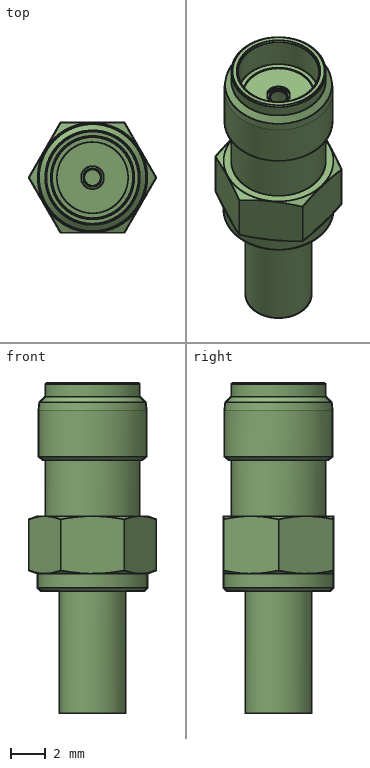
import cadquery as cq
import math

overall_length = 19.0
flange_bottom = 7.03
flange_height = 1.0
hex_height = 3.31
hex_bottom = flange_bottom + flange_height
hex_top = hex_bottom + hex_height
barrel_bottom = 14.54
barrel_taper_start = 17.42
barrel_cone_start = 17.88
nose_bottom = 18.21

tube_diameter = 3.84
flange_diameter = 6.35
flange_chamfer = 0.19
neck_diameter = 5.45
barrel_diameter = 6.24
barrel_taper_diameter = 6.14
barrel_bottom_chamfer_height = 0.22
barrel_bottom_chamfer_diameter = 5.66
nose_chamfer = 0.08

hex_across_flats = 6.35
hex_across_corners = hex_across_flats / math.cos(math.pi / 6)
hex_face_diameter = 6.31
hex_chamfer_angle = math.radians(20)
envelope_margin = 0.5

bore_diameter = 4.65
bore_depth = 1.95
bore_mouth_chamfer = 0.08
insulator_diameter = 4.1
insulator_recess = 0.07
contact_diameter = 1.32
contact_recess = 0.15
contact_hole_diameter = 0.94
contact_hole_chamfer = 0.06
contact_hole_depth = 2.0


def revolved(profile):
    """Solid of revolution about Z from a closed list of (radius, z) points."""
    return cq.Workplane("XZ").polyline(profile).close().revolve(360, (0, 0), (0, 1))


def turned_body():
    """Tube, flange, neck, barrel and nose as one revolved profile."""
    tube_radius = tube_diameter / 2
    flange_radius = flange_diameter / 2
    neck_radius = neck_diameter / 2
    barrel_radius = barrel_diameter / 2
    profile = [
        (0, 0),
        (tube_radius, 0),
        (tube_radius, flange_bottom),
        (flange_radius - flange_chamfer, flange_bottom),
        (flange_radius, flange_bottom + flange_chamfer),
        (flange_radius, hex_bottom),
        (neck_radius, hex_bottom),
        (neck_radius, barrel_bottom),
        (barrel_bottom_chamfer_diameter / 2, barrel_bottom),
        (barrel_radius, barrel_bottom + barrel_bottom_chamfer_height),
        (barrel_radius, barrel_taper_start),
        (barrel_taper_diameter / 2, barrel_cone_start),
        (neck_radius, nose_bottom),
        (neck_radius, overall_length - nose_chamfer),
        (neck_radius - nose_chamfer, overall_length),
        (0, overall_length),
    ]
    return revolved(profile)


def wrench_hex():
    """Hexagon with its corners turned off by a shallow cone at both ends."""
    face_radius = hex_face_diameter / 2
    rim_radius = hex_across_corners / 2 + envelope_margin
    cone_drop = (rim_radius - face_radius) * math.tan(hex_chamfer_angle)
    envelope_profile = [
        (0, hex_bottom),
        (face_radius, hex_bottom),
        (rim_radius, hex_bottom + cone_drop),
        (rim_radius, hex_top - cone_drop),
        (face_radius, hex_top),
        (0, hex_top),
    ]
    prism = cq.Workplane("XY", origin=(0, 0, hex_bottom)).polygon(6, hex_across_corners).extrude(hex_height)
    return prism.intersect(revolved(envelope_profile))


def socket_cavity():
    """Stepped bore: mouth, recessed insulator face, recessed contact face and contact hole."""
    bore_radius = bore_diameter / 2
    insulator_radius = insulator_diameter / 2
    contact_radius = contact_diameter / 2
    hole_radius = contact_hole_diameter / 2
    bore_floor = overall_length - bore_depth
    insulator_face = bore_floor - insulator_recess
    contact_face = insulator_face - contact_recess
    hole_bottom = contact_face - contact_hole_depth
    profile = [
        (0, hole_bottom),
        (hole_radius, hole_bottom),
        (hole_radius, contact_face - contact_hole_chamfer),
        (hole_radius + contact_hole_chamfer, contact_face),
        (contact_radius, contact_face),
        (contact_radius, insulator_face),
        (insulator_radius, insulator_face),
        (insulator_radius, bore_floor),
        (bore_radius, bore_floor),
        (bore_radius, overall_length - bore_mouth_chamfer),
        (bore_radius + bore_mouth_chamfer, overall_length),
        (0, overall_length),
    ]
    return revolved(profile)


result = turned_body().union(wrench_hex()).cut(socket_cavity())